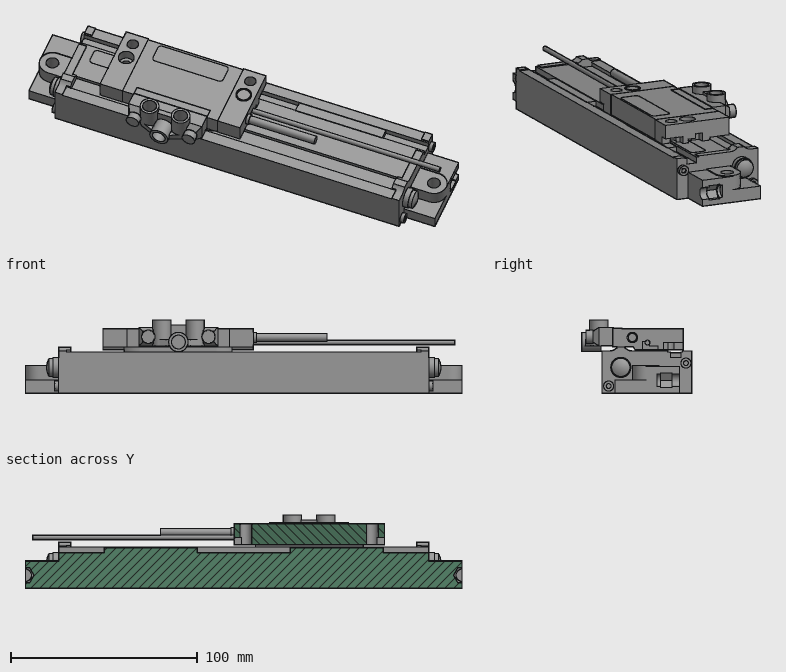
import cadquery as cq
import math

OVERLAP = 0.5

RAIL_HALF_LENGTH = 99.2
RAIL_HALF_WIDTH = 24.1
RAIL_TOP = 22.2
CAP_LENGTH = 4.3

SCALE_GROOVE_BACK = 18.2
SCALE_GROOVE_FRONT = 12.5
SCALE_GROOVE_FLOOR = 19.1
GUIDE_GROOVE_BACK = -9.4
GUIDE_GROOVE_FRONT = -17.9
GUIDE_GROOVE_FLOOR = 20.3

INSERT_INNER_X = 24.8
INSERT_LENGTH = 50
INSERT_TOP = 21.8

CAP_TOP = 22.8
CAP_NOTCH_BACK = 19
CAP_NOTCH_FRONT = 11.2
BUMP_TOP = 24.7
BUMP_LENGTH = 6.6
BUMP_Y = -13.9
BUMP_TOP_HALF = 2
BUMP_BASE_HALF = 6

LUG_END = 117
LUG_BACK = 17.5
LUG_FRONT = -17.1
LUG_LOW_TOP = 7.1
LUG_HIGH_TOP = 14.5
LUG_BOSS_TOP = 15
LUG_BOSS_RADIUS = 7.1
LUG_BOSS_Y = -0.6
LUG_HOLE_X = LUG_END - LUG_BOSS_RADIUS
LUG_HOLE_RADIUS = 3.4
CROSS_HOLE_RADIUS = 3.3
CROSS_HOLE_INNER_Y = 5.5
CROSS_HOLE_Z = 7
NUT_ACROSS_CORNERS = 9.2
NUT_BACK = 13.4
NUT_FRONT = 7.2

PLUG_Y = -14
PLUG_Z = 13.9
PLUG_RADIUS = 5.4
PLUG_FLANGE = 3
PLUG_COLLAR_RADIUS = 4.9
PLUG_COLLAR = 2
PLUG_NOSE = 1.4
SCREW_RADIUS = 2.7
SCREW_HEAD = 2.1
SCREW_SOCKET_RADIUS = 1.3
SCREW_SOCKET_DEPTH = 1
SCREW_PLACES = [(20.9, 16.2), (-20.5, 3.9)]

LABEL_DEPTH = 0.1
LABEL_CORNER = 2

RAIL_LABEL_X = -90
RAIL_LABEL_LENGTH = 50
RAIL_LABEL_Y = (2, 11)

HEAD_LEFT = -75.4
HEAD_RIGHT = 5.2
END_BLOCK_LENGTH = 12.9
END_BLOCK_BACK = 19.5
MIDDLE_BACK = 18.9
HEAD_FRONT = -18.4
HEAD_BOTTOM = 23.3
HEAD_TOP = 34.7
MIDDLE_STEP = 0.1
RELIEF_BACK = -6.4
RELIEF_SLOPE = 0.9
RELIEF_TOP = 24.9
HEAD_LABEL_X = (-55.7, -15.2)
HEAD_LABEL_Y = (6.9, 17.6)

SMALL_HOLE_Y = 12.9
SMALL_HOLE_RADIUS = 3
LARGE_HOLE_Y = 3.3
LARGE_HOLE_RADIUS = 4.2
LARGE_HOLE_DEPTH = 6
LARGE_HOLE_THROUGH_RADIUS = 2.4
PLUG_RING_WALL = 0.6
PLUG_DROP = 0.4

END_NOTCHES = [(END_BLOCK_BACK, 9, 27.2), (5.8, 1.5, 25.4), (1.5, -2.4, 27.8)]
END_NOTCH_DEPTH = 4

SHOE_LEFT = -64
SHOE_RIGHT = -6.2
SHOE_CURVE = 8.2
SHOE_BACK = -12
SHOE_FRONT = -16

CONNECTOR_X = -35
CONNECTOR_HALF_LENGTH = 21.1
CONNECTOR_FRONT = -25.6
CONNECTOR_BOTTOM = 25.4
CONNECTOR_TOP = 35.3
SCREW_SEAT_WIDTH = 9.5
SCREW_SEAT_FRONT = -29
SCREW_SEAT_TAPER = 2
CLAMP_PAD_BACK = -13.4
CLAMP_PAD_HEIGHT = 0.2
PORT_SPACING = 17.9
PORT_Y = -25.8
PORT_RADIUS = 5
PORT_BORE_RADIUS = 3.7
PORT_TOP = 39.3
WEB_BACK = -24.2
WEB_FRONT = -26.8
WEB_TOP = 36.7
INLET_Z = 27.5
INLET_RADIUS = 5.2
INLET_BACK = -24.5
INLET_FRONT = -35
INLET_BORE_DEPTH = 8
SCREW_PIN_OFFSET = 16.1
SCREW_PIN_Z = 30.3
SCREW_PIN_RADIUS = 3.6
SCREW_PIN_FRONT = -32.7
SCREW_PIN_BACK = -28.8
GUSSET_BACK = -30.2
GUSSET_FRONT = -33.4
GUSSET_TOP = 28.8
GUSSET_BACK_HALF = 11
GUSSET_FRONT_HALF = 4

THIN_CABLE = dict(y=0.3, z=27.2, radius=1.3, end=113)
THICK_CABLE = dict(y=-7.8, z=29.9, radius=2.2, end=44.6)
CABLE_SLEEVE_RADIUS = 2.8
CABLE_SLEEVE_LENGTH = 1.7


def block(x, y, z):
    """A box from three (start, end) ranges."""
    (x0, x1), (y0, y1), (z0, z1) = sorted(x), sorted(y), sorted(z)
    return cq.Workplane("XY").box(x1 - x0, y1 - y0, z1 - z0, centered=False).translate((x0, y0, z0))


def rod_x(start, end, y, z, radius):
    return cq.Workplane("YZ", origin=(start, y, z)).circle(radius).extrude(end - start)


def rod_y(start, end, x, z, radius):
    return cq.Workplane("XZ", origin=(x, start, z)).circle(radius).extrude(start - end)


def rod_z(start, end, x, y, radius):
    return cq.Workplane("XY", origin=(x, y, start)).circle(radius).extrude(end - start)


def label_recess(x, y, top):
    pocket = block(x, y, (top - LABEL_DEPTH, top + OVERLAP))
    return pocket.edges("|Z").fillet(LABEL_CORNER)


def profile_body():
    """Extruded rail with its two top grooves."""
    section = [
        (RAIL_HALF_WIDTH, 0),
        (RAIL_HALF_WIDTH, RAIL_TOP),
        (SCALE_GROOVE_BACK, RAIL_TOP),
        (SCALE_GROOVE_BACK, SCALE_GROOVE_FLOOR),
        (SCALE_GROOVE_FRONT, SCALE_GROOVE_FLOOR),
        (SCALE_GROOVE_FRONT, RAIL_TOP),
        (GUIDE_GROOVE_BACK, RAIL_TOP),
        (GUIDE_GROOVE_BACK, GUIDE_GROOVE_FLOOR),
        (GUIDE_GROOVE_FRONT, GUIDE_GROOVE_FLOOR),
        (GUIDE_GROOVE_FRONT, RAIL_TOP),
        (-RAIL_HALF_WIDTH, RAIL_TOP),
        (-RAIL_HALF_WIDTH, 0),
    ]
    plane = cq.Workplane("YZ", origin=(-RAIL_HALF_LENGTH, 0, 0))
    return plane.polyline(section).close().extrude(2 * RAIL_HALF_LENGTH)


def cap_bump(start_x):
    """Flat-topped bump with hollow flanks that run out level with the cap top."""
    width = BUMP_BASE_HALF - BUMP_TOP_HALF
    height = BUMP_TOP - CAP_TOP
    flank_radius = (width**2 + height**2) / (2 * height)
    half_width = width / 2
    half_height = flank_radius - math.sqrt(flank_radius**2 - half_width**2)
    flank_half = BUMP_BASE_HALF - half_width
    flank_z = CAP_TOP + half_height
    return (
        cq.Workplane("YZ", origin=(start_x, BUMP_Y, 0))
        .moveTo(-BUMP_BASE_HALF, GUIDE_GROOVE_FLOOR)
        .lineTo(-BUMP_BASE_HALF, CAP_TOP)
        .threePointArc((-flank_half, flank_z), (-BUMP_TOP_HALF, BUMP_TOP))
        .lineTo(BUMP_TOP_HALF, BUMP_TOP)
        .threePointArc((flank_half, flank_z), (BUMP_BASE_HALF, CAP_TOP))
        .lineTo(BUMP_BASE_HALF, GUIDE_GROOVE_FLOOR)
        .close()
        .extrude(RAIL_HALF_LENGTH - start_x)
    )


def end_cap():
    """Cap at the right end of the rail."""
    inner_x = RAIL_HALF_LENGTH - CAP_LENGTH
    section = [
        (RAIL_HALF_WIDTH, 0),
        (RAIL_HALF_WIDTH, CAP_TOP),
        (CAP_NOTCH_BACK, CAP_TOP),
        (CAP_NOTCH_BACK, SCALE_GROOVE_FLOOR),
        (CAP_NOTCH_FRONT, SCALE_GROOVE_FLOOR),
        (CAP_NOTCH_FRONT, CAP_TOP),
        (-RAIL_HALF_WIDTH, CAP_TOP),
        (-RAIL_HALF_WIDTH, 0),
    ]
    cap = cq.Workplane("YZ", origin=(inner_x, 0, 0)).polyline(section).close().extrude(CAP_LENGTH)
    cap = cap.union(cap_bump(inner_x))
    tongue_x = RAIL_HALF_LENGTH - BUMP_LENGTH
    groove = block(
        (tongue_x, inner_x),
        (GUIDE_GROOVE_FRONT, GUIDE_GROOVE_BACK),
        (GUIDE_GROOVE_FLOOR, BUMP_TOP),
    )
    return cap.union(cap_bump(tongue_x).intersect(groove))


def mounting_lug():
    """Stepped lug at the right end, with its bolt hole and side nut pocket."""
    span = (RAIL_HALF_LENGTH - OVERLAP, LUG_END)
    lug = block(span, (LUG_FRONT, LUG_BACK), (0, LUG_LOW_TOP))
    lug = lug.union(block(span, (LUG_BOSS_Y, LUG_BACK), (0, LUG_HIGH_TOP)))
    boss_sides = (LUG_BOSS_Y - LUG_BOSS_RADIUS, LUG_BOSS_Y + LUG_BOSS_RADIUS)
    lug = lug.union(block((span[0], LUG_HOLE_X), boss_sides, (0, LUG_BOSS_TOP)))
    lug = lug.union(rod_z(0, LUG_BOSS_TOP, LUG_HOLE_X, LUG_BOSS_Y, LUG_BOSS_RADIUS))
    lug = lug.cut(rod_z(0, LUG_BOSS_TOP, LUG_HOLE_X, LUG_BOSS_Y, LUG_HOLE_RADIUS))
    lug = lug.cut(rod_y(LUG_BACK, CROSS_HOLE_INNER_Y, LUG_END, CROSS_HOLE_Z, CROSS_HOLE_RADIUS))
    nut_plane = cq.Workplane("XZ", origin=(LUG_END, NUT_BACK, CROSS_HOLE_Z))
    return lug.cut(nut_plane.polygon(6, NUT_ACROSS_CORNERS).extrude(NUT_BACK - NUT_FRONT))


def end_plug():
    """Stepped round plug with a domed nose on the right end of the rail."""
    flange_end = RAIL_HALF_LENGTH + PLUG_FLANGE
    collar_end = flange_end + PLUG_COLLAR
    plug = rod_x(RAIL_HALF_LENGTH - OVERLAP, flange_end, PLUG_Y, PLUG_Z, PLUG_RADIUS)
    plug = plug.union(rod_x(flange_end, collar_end, PLUG_Y, PLUG_Z, PLUG_COLLAR_RADIUS))
    dome_radius = (PLUG_COLLAR_RADIUS**2 + PLUG_NOSE**2) / (2 * PLUG_NOSE)
    half_angle = math.asin(PLUG_COLLAR_RADIUS / dome_radius) / 2
    half_way_x = dome_radius * (math.cos(half_angle) - math.cos(2 * half_angle))
    half_way_radius = dome_radius * math.sin(half_angle)
    nose = (
        cq.Workplane("XY", origin=(collar_end, PLUG_Y, PLUG_Z))
        .moveTo(0, PLUG_COLLAR_RADIUS)
        .threePointArc((half_way_x, half_way_radius), (PLUG_NOSE, 0))
        .lineTo(0, 0)
        .close()
        .revolve(360, (0, 0, 0), (1, 0, 0))
    )
    return plug.union(nose)


def cap_screw(y, z):
    head_end = RAIL_HALF_LENGTH + SCREW_HEAD
    screw = rod_x(RAIL_HALF_LENGTH - OVERLAP, head_end, y, z, SCREW_RADIUS)
    return screw.cut(rod_x(head_end - SCREW_SOCKET_DEPTH, head_end, y, z, SCREW_SOCKET_RADIUS))


def rail_end():
    end = end_cap().union(mounting_lug()).union(end_plug())
    for y, z in SCREW_PLACES:
        end = end.union(cap_screw(y, z))
    return end


def scale_insert():
    return block(
        (INSERT_INNER_X, INSERT_INNER_X + INSERT_LENGTH),
        (SCALE_GROOVE_FRONT, SCALE_GROOVE_BACK),
        (SCALE_GROOVE_FLOOR - OVERLAP, INSERT_TOP),
    )


def make_rail():
    rail = profile_body()
    right_half = [rail_end(), scale_insert()]
    for feature in right_half:
        rail = rail.union(feature).union(feature.mirror("YZ"))
    label_span = (RAIL_LABEL_X, RAIL_LABEL_X + RAIL_LABEL_LENGTH)
    return rail.cut(label_recess(label_span, RAIL_LABEL_Y, RAIL_TOP))


def head_block():
    """Carriage body: two end blocks joined by a slightly narrower middle."""
    height = (HEAD_BOTTOM, HEAD_TOP)
    middle_top = HEAD_TOP - MIDDLE_STEP
    body = block(
        (HEAD_LEFT, HEAD_RIGHT), (HEAD_FRONT + MIDDLE_STEP, MIDDLE_BACK), (HEAD_BOTTOM, middle_top)
    )
    for start in (HEAD_LEFT, HEAD_RIGHT - END_BLOCK_LENGTH):
        body = body.union(block((start, start + END_BLOCK_LENGTH), (HEAD_FRONT, END_BLOCK_BACK), height))
    relief = [
        (RELIEF_BACK, HEAD_BOTTOM),
        (RELIEF_BACK - RELIEF_SLOPE, RELIEF_TOP),
        (HEAD_FRONT, RELIEF_TOP),
        (HEAD_FRONT, HEAD_BOTTOM),
    ]
    relief_plane = cq.Workplane("YZ", origin=(HEAD_LEFT, 0, 0))
    body = body.cut(relief_plane.polyline(relief).close().extrude(HEAD_RIGHT - HEAD_LEFT))
    return body.cut(label_recess(HEAD_LABEL_X, HEAD_LABEL_Y, middle_top))


def cut_end_features(body):
    """Vertical holes of both end blocks and the notches under the two ends."""
    left_x = HEAD_LEFT + END_BLOCK_LENGTH / 2
    right_x = HEAD_RIGHT - END_BLOCK_LENGTH / 2
    for x in (left_x, right_x):
        body = body.cut(rod_z(HEAD_BOTTOM, HEAD_TOP, x, SMALL_HOLE_Y, SMALL_HOLE_RADIUS))
    counterbore_floor = HEAD_TOP - LARGE_HOLE_DEPTH
    body = body.cut(rod_z(counterbore_floor, HEAD_TOP, left_x, LARGE_HOLE_Y, LARGE_HOLE_RADIUS))
    body = body.cut(rod_z(HEAD_BOTTOM, HEAD_TOP, left_x, LARGE_HOLE_Y, LARGE_HOLE_THROUGH_RADIUS))
    plug_floor = HEAD_TOP - PLUG_DROP
    ring = rod_z(plug_floor, HEAD_TOP, right_x, LARGE_HOLE_Y, LARGE_HOLE_RADIUS)
    plug_radius = LARGE_HOLE_RADIUS - PLUG_RING_WALL
    body = body.cut(ring.cut(rod_z(plug_floor, HEAD_TOP, right_x, LARGE_HOLE_Y, plug_radius)))
    for back, front, top in END_NOTCHES:
        for x in ((HEAD_LEFT, HEAD_LEFT + END_NOTCH_DEPTH), (HEAD_RIGHT - END_NOTCH_DEPTH, HEAD_RIGHT)):
            body = body.cut(block(x, (front, back), (HEAD_BOTTOM, top)))
    return body


def guide_shoe():
    """Shoe in the front groove, its front corners swept round."""
    height = RELIEF_TOP + OVERLAP - GUIDE_GROOVE_FLOOR
    sweep = 0.7
    middle_y = (SHOE_BACK + SHOE_FRONT) / 2
    inset = SHOE_CURVE * (1 - sweep)
    return (
        cq.Workplane("XY", origin=(0, 0, GUIDE_GROOVE_FLOOR))
        .moveTo(SHOE_LEFT, SHOE_BACK)
        .threePointArc((SHOE_LEFT + inset, middle_y), (SHOE_LEFT + SHOE_CURVE, SHOE_FRONT))
        .lineTo(SHOE_RIGHT - SHOE_CURVE, SHOE_FRONT)
        .threePointArc((SHOE_RIGHT - inset, middle_y), (SHOE_RIGHT, SHOE_BACK))
        .close()
        .extrude(height)
    )


def connector_block():
    """Mounting block of the air connector with its clamp pad."""
    span = (CONNECTOR_X - CONNECTOR_HALF_LENGTH, CONNECTOR_X + CONNECTOR_HALF_LENGTH)
    sides = (CONNECTOR_FRONT, HEAD_FRONT + OVERLAP)
    body = block(span, sides, (CONNECTOR_BOTTOM, CONNECTOR_TOP))
    pad_height = (HEAD_TOP - OVERLAP, HEAD_TOP + CLAMP_PAD_HEIGHT)
    return body.union(block(span, (HEAD_FRONT, CLAMP_PAD_BACK), pad_height))


def screw_seat(side):
    """Tapered seat in front of the connector block, under one screw."""
    height = CONNECTOR_TOP - CONNECTOR_BOTTOM
    x = CONNECTOR_X + side * (CONNECTOR_HALF_LENGTH - SCREW_SEAT_WIDTH / 2)
    return (
        cq.Workplane("XZ", origin=(x, CONNECTOR_FRONT, CONNECTOR_BOTTOM + height / 2))
        .rect(SCREW_SEAT_WIDTH, height)
        .workplane(offset=CONNECTOR_FRONT - SCREW_SEAT_FRONT)
        .rect(SCREW_SEAT_WIDTH - 2 * SCREW_SEAT_TAPER, height - 2 * SCREW_SEAT_TAPER)
        .loft()
    )


def air_connector():
    """Connector block with two upright ports, a front inlet and two screws."""
    port_offset = PORT_SPACING / 2
    ports = [CONNECTOR_X - port_offset, CONNECTOR_X + port_offset]
    body = connector_block()
    for side in (-1, 1):
        body = body.union(screw_seat(side))
    body = body.union(block(ports, (WEB_BACK, WEB_FRONT), (CONNECTOR_BOTTOM, WEB_TOP)))
    for x in ports:
        body = body.union(rod_z(CONNECTOR_BOTTOM, PORT_TOP, x, PORT_Y, PORT_RADIUS))
    gusset = [
        (-GUSSET_BACK_HALF, GUSSET_BACK),
        (-GUSSET_FRONT_HALF, GUSSET_FRONT),
        (GUSSET_FRONT_HALF, GUSSET_FRONT),
        (GUSSET_BACK_HALF, GUSSET_BACK),
    ]
    gusset_plane = cq.Workplane("XY", origin=(CONNECTOR_X, 0, CONNECTOR_BOTTOM))
    body = body.union(gusset_plane.polyline(gusset).close().extrude(GUSSET_TOP - CONNECTOR_BOTTOM))
    body = body.union(rod_y(INLET_BACK, INLET_FRONT, CONNECTOR_X, INLET_Z, INLET_RADIUS))
    bore_back = INLET_FRONT + INLET_BORE_DEPTH
    body = body.cut(rod_y(bore_back, INLET_FRONT, CONNECTOR_X, INLET_Z, PORT_BORE_RADIUS))
    for x in ports:
        body = body.cut(rod_z(CONNECTOR_BOTTOM, PORT_TOP, x, PORT_Y, PORT_BORE_RADIUS))
    for side in (-1, 1):
        x = CONNECTOR_X + side * SCREW_PIN_OFFSET
        body = body.union(rod_y(SCREW_PIN_BACK, SCREW_PIN_FRONT, x, SCREW_PIN_Z, SCREW_PIN_RADIUS))
    return body


def cable(y, z, radius, end):
    return rod_x(HEAD_RIGHT - OVERLAP, end, y, z, radius)


def make_head():
    head = cut_end_features(head_block())
    head = head.union(guide_shoe()).union(air_connector())
    head = head.union(cable(**THIN_CABLE)).union(cable(**THICK_CABLE))
    sleeve = cable(
        y=THICK_CABLE["y"],
        z=THICK_CABLE["z"],
        radius=CABLE_SLEEVE_RADIUS,
        end=HEAD_RIGHT + CABLE_SLEEVE_LENGTH,
    )
    return head.union(sleeve)


rail = make_rail()
head = make_head()
result = cq.Compound.makeCompound([rail.val(), head.val()])